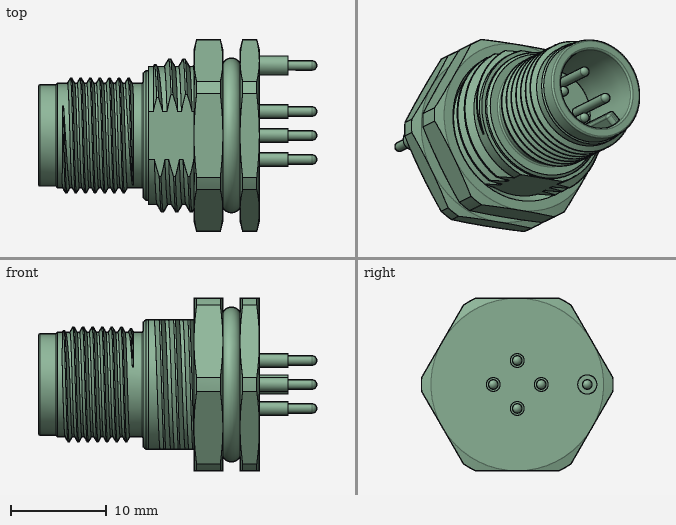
import cadquery as cq
import math


x_axis = ((0, 0, 0), (1, 0, 0))

nose_end = 1.8
small_core_start = 1.95
collar_start = 10.9
large_core_start = 11.45
nut_start = 16.2
nut_end = 19.2
flange_start = 21.0
flange_end = 23.0
solder_shoulder = 26.0
overall_length = 29.0

nose_radius = 5.3
nose_edge_fillet = 0.18
small_core_radius = 5.46
collar_radius = 6.77
collar_fillet = 0.17
collar_chamfer = 0.27
large_core_radius = 7.2
flat_half_height = 6.75

small_thread_radius = 6.0
small_thread_pitch = 1.0
small_thread_crest = 0.125
small_thread_start = 2.53
small_thread_start_angle = 54.0
small_thread_turns = 7.3
large_thread_radius = 8.0
large_thread_pitch = 1.5
large_thread_crest = 0.19
large_thread_start = 12.05
large_thread_start_angle = -24.0
large_thread_turns = 3.5
thread_flank_angle = 30.0
fade_turns = 0.3
fade_sink = 0.01
root_overlap = 0.1
points_per_turn = 16

across_flats = 18.0
corner_radius = 10.0
hex_chamfer_angle = 15.0
hex_sides = 6
nut_countersink_radius = 7.95
ring_section_radius = 1.0
ring_mean_radius = 7.08

socket_mouth_radius = 4.22
socket_floor_radius = 4.15
socket_mouth_fillet = 0.2
socket_depth = 8.5
contact_radius = 0.5
contact_count = 4
contact_offset = 2.5
contact_tip = 2.0
solder_sleeve_radius = 0.72
earth_offset = 7.3
earth_sleeve_radius = 1.0

key_start = 0.75
key_width = 1.1
key_inner_reach = 2.97
key_corner_radius = 0.28
key_front_radius = 0.45
key_angle = 225.0


def revolved(profile):
    """Solid of revolution about X from (x, radius) points."""
    return cq.Workplane("XY").polyline(profile).close().revolve(360, *x_axis)


def cylinder(start, end, radius, y=0.0, z=0.0):
    return cq.Workplane("YZ", origin=(start, y, z)).circle(radius).extrude(end - start)


def make_shell():
    """Turned shell: nose, small thread core, collar and large thread core."""
    profile = (
        cq.Workplane("XY")
        .lineTo(0, nose_radius - nose_edge_fillet)
        .radiusArc((nose_edge_fillet, nose_radius), nose_edge_fillet)
        .lineTo(nose_end, nose_radius)
        .lineTo(small_core_start, small_core_radius)
        .lineTo(collar_start - collar_fillet, small_core_radius)
        .tangentArcPoint((collar_start, small_core_radius + collar_fillet), relative=False)
        .lineTo(collar_start, collar_radius - collar_chamfer)
        .lineTo(collar_start + collar_chamfer, collar_radius)
        .lineTo(large_core_start, collar_radius)
        .lineTo(large_core_start, large_core_radius)
        .lineTo(flange_end, large_core_radius)
        .lineTo(flange_end, 0)
        .close()
    )
    return profile.revolve(360, *x_axis)


def make_thread(core_radius, crest_radius, pitch, crest_width, start, start_angle, turns):
    """Right-handed helical ridge that sinks into its core at both ends."""
    height = crest_radius - core_radius
    root_radius = core_radius - root_overlap
    flank_run = (height + root_overlap) * math.tan(math.radians(thread_flank_angle))
    crest_half = crest_width / 2
    root_half = crest_half + flank_run

    def helix_edge(radius, shift):
        points = []
        count = round(turns * points_per_turn)
        for index in range(count + 1):
            turn = turns * index / count
            depth = 1 - min(turn, turns - turn, fade_turns) / fade_turns
            local_radius = radius - (height + fade_sink) * depth
            angle = math.radians(start_angle) + 2 * math.pi * turn
            points.append(cq.Vector(
                start + pitch * turn + shift,
                local_radius * math.cos(angle),
                local_radius * math.sin(angle),
            ))
        return cq.Edge.makeSpline(points)

    edges = [
        helix_edge(root_radius, -root_half),
        helix_edge(crest_radius, -crest_half),
        helix_edge(crest_radius, crest_half),
        helix_edge(root_radius, root_half),
    ]
    faces = [cq.Face.makeRuledSurface(edges[i - 1], edges[i]) for i in range(len(edges))]
    for end_point in (0, 1):
        corners = [edge.positionAt(end_point) for edge in edges]
        faces.append(cq.Face.makeFromWires(cq.Wire.makePolygon(corners, close=True)))
    return cq.Workplane(cq.Solid.makeSolid(cq.Shell.makeShell(faces)))


def cut_wrench_flats(body):
    """Two flats facing Z across the large thread, reaching back to the flange."""
    length = flange_start - large_core_start
    block_size = 2 * corner_radius
    for side in (-1, 1):
        center_z = side * (flat_half_height + block_size / 2)
        block = cq.Workplane("XY").box(length, block_size, block_size, centered=(False, True, True))
        body = body.cut(block.translate((large_core_start, 0, center_z)))
    return body


def make_hexagon(start, end):
    """Hexagon with flats facing Z, its corners rounded and chamfered at both ends."""
    sharp_corner_diameter = across_flats / math.cos(math.pi / hex_sides)
    section = cq.Workplane("YZ", origin=(start, 0, 0)).polygon(hex_sides, sharp_corner_diameter)
    prism = section.extrude(end - start)
    face_radius = across_flats / 2
    chamfer = (corner_radius - face_radius) * math.tan(math.radians(hex_chamfer_angle))
    envelope = revolved([
        (start, 0),
        (start, face_radius),
        (start + chamfer, corner_radius),
        (end - chamfer, corner_radius),
        (end, face_radius),
        (end, 0),
    ])
    return prism.intersect(envelope)


def make_nut():
    """Nut with its bore on the thread core and a countersink at its front."""
    countersink_depth = nut_countersink_radius - large_core_radius
    bore = revolved([
        (nut_start, 0),
        (nut_start, nut_countersink_radius),
        (nut_start + countersink_depth, large_core_radius),
        (nut_end, large_core_radius),
        (nut_end, 0),
    ])
    return make_hexagon(nut_start, nut_end).cut(bore)


def make_sealing_ring():
    """Round ring clipped flat where the nut and the flange press on it."""
    ring = (
        cq.Workplane("XY", origin=((nut_end + flange_start) / 2, ring_mean_radius, 0))
        .circle(ring_section_radius)
        .revolve(360, (0, -ring_mean_radius, 0), (1, -ring_mean_radius, 0))
    )
    return ring.intersect(cylinder(nut_end, flange_start, corner_radius))


def make_socket():
    """Slightly tapered cavity with a rounded mouth."""
    profile = (
        cq.Workplane("XY")
        .lineTo(0, socket_mouth_radius + socket_mouth_fillet)
        .radiusArc((socket_mouth_fillet, socket_mouth_radius), -socket_mouth_fillet)
        .lineTo(socket_depth, socket_floor_radius)
        .lineTo(socket_depth, 0)
        .close()
    )
    return profile.revolve(360, *x_axis)


def make_dome(x, y, z):
    """Ball that rounds the end of a contact pin."""
    return cq.Workplane("XY").sphere(contact_radius).translate((x, y, z))


def make_contact(y, z):
    """Pin inside the socket with a domed tip."""
    dome_center = contact_tip + contact_radius
    pin = cylinder(dome_center, socket_depth, contact_radius, y, z)
    return pin.union(make_dome(dome_center, y, z))


def make_tail(y, z, sleeve_radius):
    """Solder tail behind the flange: sleeve, pin and domed tip."""
    dome_center = overall_length - contact_radius
    sleeve = cylinder(flange_end, solder_shoulder, sleeve_radius, y, z)
    pin = cylinder(solder_shoulder, dome_center, contact_radius, y, z)
    return sleeve.union(pin).union(make_dome(dome_center, y, z))


def make_key():
    """Rib along the socket wall, rounded at its inner edges and its front end."""
    length = socket_depth - key_start
    radius_inside_wall = (socket_floor_radius + nose_radius) / 2
    depth = radius_inside_wall - key_inner_reach
    rib = cq.Workplane("XY").box(length, depth, key_width, centered=(False, False, True))
    rib = rib.translate((key_start, key_inner_reach, 0))
    rib = rib.edges("|Y and <X").fillet(key_front_radius)
    rib = rib.faces("<Y").edges("not >X").fillet(key_corner_radius)
    return rib.rotate(*x_axis, key_angle)


small_thread = make_thread(
    small_core_radius, small_thread_radius, small_thread_pitch, small_thread_crest,
    small_thread_start, small_thread_start_angle, small_thread_turns,
)
large_thread = make_thread(
    large_core_radius, large_thread_radius, large_thread_pitch, large_thread_crest,
    large_thread_start, large_thread_start_angle, large_thread_turns,
)

result = make_shell().union(small_thread).union(large_thread)
result = cut_wrench_flats(result)
result = result.union(make_nut()).union(make_sealing_ring())
result = result.union(make_hexagon(flange_start, flange_end))
result = result.cut(make_socket()).union(make_key())

for index in range(contact_count):
    angle = 2 * math.pi * index / contact_count
    contact_y = contact_offset * math.cos(angle)
    contact_z = contact_offset * math.sin(angle)
    result = result.union(make_contact(contact_y, contact_z))
    result = result.union(make_tail(contact_y, contact_z, solder_sleeve_radius))

result = result.union(make_tail(earth_offset, 0, earth_sleeve_radius))